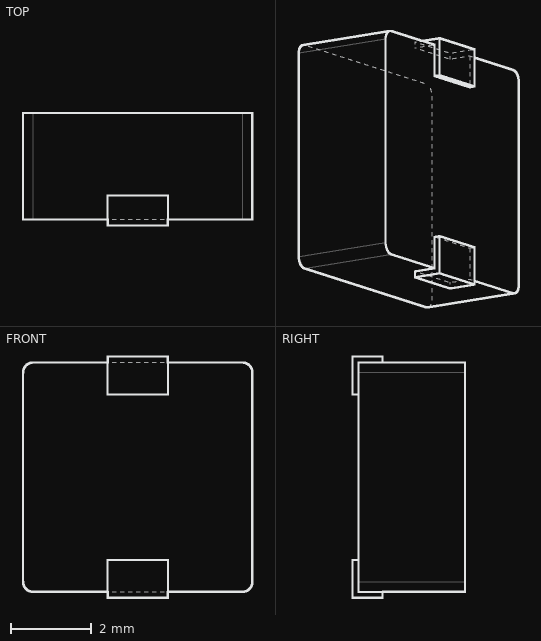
import cadquery as cq

overall_height = 6.0
overall_depth = 2.8
terminal_thickness = 0.15
body_size = overall_height - 2 * terminal_thickness
body_depth = overall_depth - terminal_thickness
corner_radius = 0.25

terminal_width = 1.5
front_leg_length = 0.95
side_leg_length = 0.75


def make_body():
    """Square block with its front face on Y = 0, rounded along its Y edges."""
    block = cq.Workplane("XY").box(body_size, body_depth, body_size, centered=(True, False, True))
    return block.edges("|Y").fillet(corner_radius)


def make_top_terminal():
    """L-shaped strip lying on the front and top faces of the body."""
    outer_y = -terminal_thickness
    outer_z = overall_height / 2
    inner_z = body_size / 2
    profile = [
        (outer_y, outer_z),
        (outer_y + side_leg_length, outer_z),
        (outer_y + side_leg_length, inner_z),
        (0, inner_z),
        (0, outer_z - front_leg_length),
        (outer_y, outer_z - front_leg_length),
    ]
    return cq.Workplane("YZ").polyline(profile).close().extrude(terminal_width / 2, both=True)


top_terminal = make_top_terminal()
bottom_terminal = top_terminal.mirror("XY")
result = make_body().union(top_terminal).union(bottom_terminal)